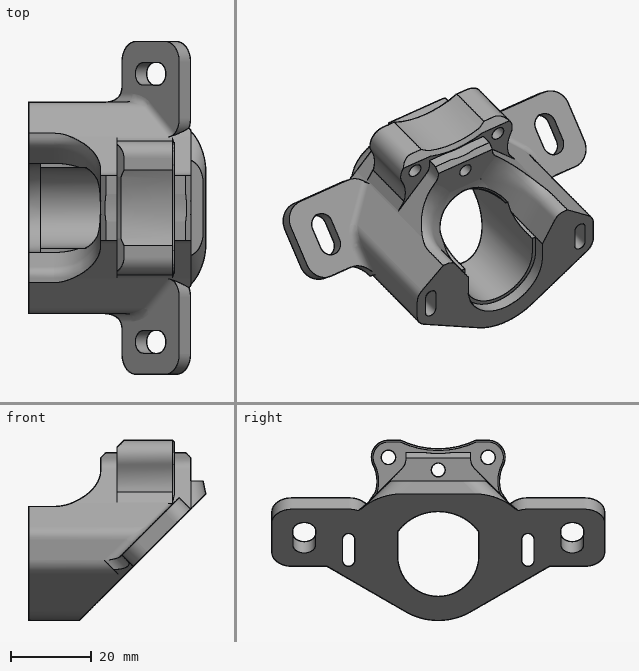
import cadquery as cq
import math


body_radius = 16.0
ear_radius = 4.0
ear_y = 22.14
ear_slot_width = 3.0
ear_low_slope = 30.0
ear_high_slope = 40.0
ear_top_z = 4.0
low_slope_radians = math.radians(ear_low_slope)
ear_bottom_z = (
    (ear_y * math.sin(low_slope_radians) - body_radius + ear_radius) / math.cos(low_slope_radians)
)
mount_offset = 28.5
selection_tolerance = 0.01
stock_length = 60.0

neck_half_width = 8.0
neck_foot_y = 17.55
neck_foot_z = 12.95
neck_top_z = 25.5
neck_corner_radius = 3.5
neck_front_x = 17.8
neck_back_x = 40.1
neck_chamfer = 1.3
shoulder_z = 18.5
lip_tip_x = 43.8
lip_tip_z = lip_tip_x - mount_offset
lip_tilt = 12.0
lip_corner_radius = 5.0

bore_radius = 10.0
counterbore_radius = 11.0
counterbore_depth = 3.0
arch_radius = 12.0
arch_rear_z = 10.9
lead_in_x = 20.0
lead_in_z = 12.4
lead_in_tilt = 45.0
lead_in_radius = 10.6
arch_tilt = 4.6
saddle_floor_z = 4.6
saddle_floor_half_width = 11.0
saddle_wall_slope = 28.0
saddle_rim_radius = 3.0
saddle_rim_z = 12.22
saddle_rim_y = 17.27
saddle_end_radius = 11.4

block_front_x = 21.8
block_back_x = 36.0
block_top_z = 28.56
block_corner_radius = 4.25
block_hole_y = 12.3
block_hole_z = block_top_z - block_corner_radius
block_hole_diameter = 3.5
block_chamfer = 1.75
groove_half_width = 9.3
groove_bottom_z = 26.45
groove_chamfer = 1.0
groove_clearance = 1.2
block_edge_chamfer = 0.45
waist_radius = 9.0
waist_z = 18.4
waist_end_z = 15.7
waist_foot_y = 17.9
waist_foot_z = 12.3
centre_hole_diameter = 3.35
centre_hole_z = 21.2

overall_width = 82.28
flange_thickness = 4.0
flange_height = 20.0
flange_centre_z = 4.45
flange_inner_y = 17.0
flange_corner_radius = 5.0
flange_slot_y = 33.1
flange_slot_length = 10.6
flange_slot_width = 5.6
flange_root_radius = 2.0
flange_web_radius = 4.0


def section(x):
    """Workplane across the bore: local x is +Y, local y is +Z, normal +X."""
    return cq.Workplane("YZ", origin=(x, 0, 0))


def on_circle(y, z, radius, angle):
    """Point on a circle, the angle in degrees from +Y towards +Z."""
    a = math.radians(angle)
    return (y + radius * math.cos(a), z + radius * math.sin(a))


def mirrored(point):
    return (-point[0], point[1])


def add_ear(outline):
    """Continue an outline from the belly round the ear and up to the foot of the neck."""
    low = ear_low_slope - 90
    high = 90 - ear_high_slope
    ear_side = ear_y + ear_radius
    return (
        outline
        .lineTo(*on_circle(ear_y, ear_bottom_z, ear_radius, low))
        .threePointArc(on_circle(ear_y, ear_bottom_z, ear_radius, low / 2), (ear_side, ear_bottom_z))
        .lineTo(ear_side, ear_top_z)
        .threePointArc(
            on_circle(ear_y, ear_top_z, ear_radius, high / 2),
            on_circle(ear_y, ear_top_z, ear_radius, high),
        )
        .lineTo(neck_foot_y, neck_foot_z)
    )


def make_body():
    low = ear_low_slope - 90
    neck_corner_z = neck_foot_z + neck_foot_y - neck_half_width
    belly = (
        section(0)
        .moveTo(0, -body_radius)
        .threePointArc(
            on_circle(0, 0, body_radius, (low - 90) / 2),
            on_circle(0, 0, body_radius, low),
        )
    )
    half = (
        add_ear(belly)
        .lineTo(neck_half_width, neck_corner_z)
        .lineTo(neck_half_width, neck_top_z)
        .lineTo(0, neck_top_z)
        .close()
        .extrude(stock_length)
    )
    corner = cq.selectors.NearestToPointSelector((stock_length / 2, neck_half_width, neck_corner_z))
    half = half.edges(corner).fillet(neck_corner_radius)
    return half.union(half.mirror("XZ")).clean()


def make_lip_envelope():
    """Wedge behind the neck with the neck's flanks, a leaning end face and rounded corners."""
    lean = math.tan(math.radians(lip_tilt))
    high_x = lip_tip_x - (shoulder_z - lip_tip_z) * lean
    low_x = lip_tip_x + lip_tip_z * lean
    flank_top_y = neck_foot_y + neck_foot_z - shoulder_z
    flank_low_y = flank_top_y + shoulder_z
    flanks = (
        section(0)
        .polyline([(-flank_low_y, 0), (-flank_top_y, shoulder_z),
                   (flank_top_y, shoulder_z), (flank_low_y, 0)])
        .close()
        .extrude(stock_length)
    )
    end = (
        cq.Workplane("XZ")
        .polyline([(neck_back_x, 0), (low_x, 0), (high_x, shoulder_z), (neck_back_x, shoulder_z)])
        .close()
        .extrude(overall_width, both=True)
    )
    wedge = flanks.intersect(end)
    corners = cq.selectors.BoxSelector(
        (lip_tip_x, -overall_width, lip_tip_z / 2), (stock_length, overall_width, lip_tip_z)
    )
    return wedge.edges(corners).fillet(lip_corner_radius)


def trim_lip(body):
    """Replace everything behind the neck by the part that lies inside the lip envelope."""
    rear = cq.Workplane("XY").box(
        stock_length, overall_width, 2 * stock_length, centered=(False, True, True)
    ).translate((neck_back_x, 0, 0))
    lip = body.intersect(make_lip_envelope())
    return body.cut(rear).union(lip)


def chamfer_neck(body):
    for x in (neck_front_x, neck_back_x):
        edge = cq.selectors.NearestToPointSelector((x, 0, neck_top_z))
        body = body.edges(edge).chamfer(neck_chamfer)
    return body


def make_saddle():
    """Open space between the cradle arms, rounded where it meets the neck."""
    rim_centre_z = saddle_rim_z - saddle_rim_radius
    wall_angle = 180 - saddle_wall_slope
    rim_start = on_circle(saddle_rim_y, rim_centre_z, saddle_rim_radius, wall_angle)
    rim_middle = on_circle(saddle_rim_y, rim_centre_z, saddle_rim_radius, (wall_angle + 90) / 2)
    rim_end = (saddle_rim_y, saddle_rim_z)
    outer = (overall_width / 2, saddle_rim_z)
    roof = (overall_width / 2, stock_length)
    floor = (saddle_floor_half_width, saddle_floor_z)
    saddle = (
        section(0)
        .moveTo(*mirrored(floor))
        .lineTo(*floor)
        .lineTo(*rim_start)
        .threePointArc(rim_middle, rim_end)
        .lineTo(*outer)
        .lineTo(*roof)
        .lineTo(*mirrored(roof))
        .lineTo(*mirrored(outer))
        .lineTo(*mirrored(rim_end))
        .threePointArc(mirrored(rim_middle), mirrored(rim_start))
        .close()
        .extrude(neck_front_x)
    )
    low_edges = cq.selectors.BoxSelector(
        (neck_front_x - selection_tolerance, -overall_width, 0),
        (neck_front_x + selection_tolerance, overall_width, saddle_rim_z + selection_tolerance),
    )
    return saddle.edges(low_edges).fillet(saddle_end_radius)


def trough(radius, top_z, length):
    """Round-bottomed channel along the bore axis."""
    round_part = section(0).circle(radius).extrude(length)
    upper = section(0).center(0, top_z / 2).rect(2 * radius, top_z).extrude(length)
    return round_part.union(upper)


def make_arch(radius, pivot_x, pivot_z, tilt):
    """Bore-wide cutter with an arched top that climbs towards the front from the pivot."""
    side_z = math.sqrt(radius ** 2 - bore_radius ** 2) + pivot_z - radius
    return (
        section(0)
        .moveTo(-bore_radius, 0)
        .lineTo(-bore_radius, side_z)
        .threePointArc((0, pivot_z), (bore_radius, side_z))
        .lineTo(bore_radius, 0)
        .close()
        .extrude(pivot_x)
        .rotate((pivot_x, 0, pivot_z), (pivot_x, 1, pivot_z), tilt)
    )


def make_bore():
    channel = trough(bore_radius, saddle_floor_z, stock_length)
    ceiling = make_arch(arch_radius, arch_rear_z + mount_offset, arch_rear_z, arch_tilt)
    lead_in = make_arch(lead_in_radius, lead_in_x, lead_in_z, lead_in_tilt)
    counterbore = trough(counterbore_radius, saddle_floor_z, counterbore_depth)
    return channel.union(ceiling).union(lead_in).union(counterbore)


def make_ear_slots():
    spacing = ear_top_z - ear_bottom_z
    return (
        section(0)
        .pushPoints([(side * ear_y, (ear_top_z + ear_bottom_z) / 2) for side in (1, -1)])
        .slot2D(spacing + ear_slot_width, ear_slot_width, 90)
        .extrude(stock_length)
    )


def make_block():
    waist_reach = block_corner_radius + waist_radius
    waist_drop = block_hole_z - waist_z
    waist_y = block_hole_y + math.sqrt(waist_reach ** 2 - waist_drop ** 2)
    meet_angle = math.degrees(math.atan2(-waist_drop, waist_y - block_hole_y))
    corner_end = on_circle(block_hole_y, block_hole_z, block_corner_radius, meet_angle)
    corner_mid = on_circle(block_hole_y, block_hole_z, block_corner_radius, (90 + meet_angle) / 2)
    waist_mid = (waist_y - waist_radius, waist_z)
    waist_end_y = waist_y - math.sqrt(waist_radius ** 2 - (waist_z - waist_end_z) ** 2)
    waist_end = (waist_end_y, waist_end_z)
    foot = (waist_foot_y, waist_foot_z)
    crown = (block_hole_y, block_top_z)
    groove_edge = (groove_half_width, block_top_z)
    block = (
        section(block_front_x)
        .moveTo(*mirrored(groove_edge))
        .threePointArc((0, groove_bottom_z), groove_edge)
        .lineTo(*crown)
        .threePointArc(corner_mid, corner_end)
        .threePointArc(waist_mid, waist_end)
        .lineTo(*foot)
        .lineTo(*mirrored(foot))
        .lineTo(*mirrored(waist_end))
        .threePointArc(mirrored(waist_mid), mirrored(corner_end))
        .threePointArc(mirrored(corner_mid), mirrored(crown))
        .close()
        .extrude(block_back_x - block_front_x)
    )
    groove_front = cq.selectors.NearestToPointSelector((block_front_x, 0, groove_bottom_z))
    block = block.edges(groove_front).chamfer(groove_chamfer)
    block = block.faces(">X").edges("not <Z").chamfer(block_edge_chamfer)
    bevel = (
        cq.Workplane("XZ")
        .polyline([(block_front_x, block_top_z - block_chamfer), (block_front_x, block_top_z),
                   (block_front_x + block_chamfer, block_top_z)])
        .close()
        .extrude(overall_width / 2, both=True)
    )
    return block.cut(bevel)


def make_neck_groove():
    """Shallow groove across the top of the neck, concentric with the groove of the block."""
    rise = block_top_z - groove_bottom_z
    groove_radius = (groove_half_width ** 2 + rise ** 2) / (2 * rise)
    return (
        section(0)
        .center(0, groove_bottom_z + groove_radius)
        .circle(groove_radius + groove_clearance)
        .extrude(stock_length)
    )


def make_screw_holes():
    side_holes = (
        section(0)
        .pushPoints([(side * block_hole_y, block_hole_z) for side in (1, -1)])
        .circle(block_hole_diameter / 2)
        .extrude(stock_length)
    )
    centre_hole = section(0).center(0, centre_hole_z).circle(centre_hole_diameter / 2).extrude(stock_length)
    return side_holes.union(centre_hole)


def mount_plane():
    """Sloping plane: local x is -Y, local y runs up the slope, normal into the part."""
    origin = (flange_centre_z + mount_offset, 0, flange_centre_z)
    return cq.Workplane(cq.Plane(origin=origin, xDir=(0, -1, 0), normal=(-1, 0, 1)))


def make_flange_plate(depth):
    outer = -overall_width / 2
    inner = -flange_inner_y
    return (
        mount_plane()
        .center((outer + inner) / 2, 0)
        .rect(inner - outer, flange_height)
        .extrude(depth)
        .edges(cq.selectors.ParallelDirSelector(cq.Vector(-1, 0, 1)))
        .fillet(flange_corner_radius)
    )


def make_flange_web(depth):
    """Rounded web from the lower edge of the flange to the ear, above the ear's continued underside."""
    side = -(ear_y + ear_radius)
    half_height = flange_height / 2
    web_foot = -half_height - flange_web_radius
    arc_offset = flange_web_radius * (1 - math.sqrt(0.5))
    web = (
        mount_plane()
        .moveTo(side - flange_web_radius, -half_height)
        .threePointArc((side - arc_offset, -half_height - arc_offset), (side, web_foot))
        .lineTo(-ear_y, web_foot)
        .lineTo(-ear_y, 0)
        .lineTo(side - flange_web_radius, 0)
        .close()
        .extrude(depth)
    )
    underside_z = -body_radius / math.cos(low_slope_radians)
    reach = overall_width / 2
    above = (
        section(0)
        .polyline([(0, underside_z), (reach, underside_z + reach * math.tan(low_slope_radians)),
                   (reach, stock_length), (0, stock_length)])
        .close()
        .extrude(stock_length)
    )
    return web.intersect(above)


def make_flange_root():
    """Ear on a wide sloping slab, with a fillet all along the seam between them."""
    start = section(0).moveTo(*on_circle(0, 0, body_radius, ear_low_slope - 90))
    ear = add_ear(start).close().extrude(stock_length)
    slab = mount_plane().rect(2 * overall_width, 4 * flange_height).extrude(flange_thickness)
    joined = ear.cut(below_mount_plane()).union(slab)
    inner_offset = mount_offset - flange_thickness * math.sqrt(2)

    def is_seam(edge):
        middle = edge.Center()
        on_slab = abs(middle.x - middle.z - inner_offset) < selection_tolerance
        return on_slab and ear_bottom_z < middle.z < neck_foot_z and middle.y > flange_inner_y

    return joined.edges().filter(is_seam).fillet(flange_root_radius)


def make_flange():
    """Flange on the +Y side."""
    depth = 2 * flange_thickness
    outline = make_flange_plate(depth).union(make_flange_web(depth))
    return make_flange_root().intersect(outline)


def make_flange_slots():
    return (
        mount_plane()
        .pushPoints([(side * flange_slot_y, 0) for side in (1, -1)])
        .slot2D(flange_slot_length, flange_slot_width, 90)
        .extrude(flange_thickness)
    )


def below_mount_plane():
    return mount_plane().rect(4 * stock_length, 4 * stock_length).extrude(-2 * stock_length)


flange = make_flange()
body = trim_lip(make_body().cut(below_mount_plane()))
body = body.cut(make_saddle())
body = chamfer_neck(body).cut(make_neck_groove())
body = body.union(flange).union(flange.mirror("XZ")).union(make_block())
body = body.cut(make_bore()).cut(make_ear_slots())
result = body.cut(make_screw_holes()).cut(make_flange_slots())